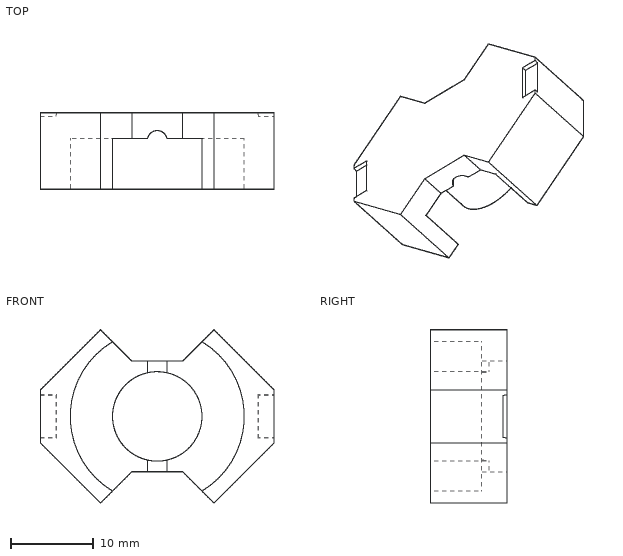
import cadquery as cq
import math

length = 28.5
height = 9.35
width = 21.11

flats_distance = 24.7
waist_width = 13.5

window_diameter = 21.2
window_depth = 6.2
post_diameter = 10.9

groove_radius = 1.2
groove_axis_depth = 0.25

recess_depth = 0.5
recess_length = 2.0
recess_mouth_width = 5.28
recess_draft = 10.0

mating_y = -height / 2
back_y = height / 2
floor_y = mating_y + window_depth


def prism(plane_points, y_start, y_end):
    """Extrude an XZ outline from y_start to y_end."""
    plane = cq.Workplane("XZ", origin=(0, y_end, 0))
    return plane.polyline(plane_points).close().extrude(y_end - y_start)


def cylinder(diameter, y_start, y_end):
    """Round bar along Y on the part axis."""
    plane = cq.Workplane("XZ", origin=(0, y_end, 0))
    return plane.circle(diameter / 2).extrude(y_end - y_start)


def core_body():
    flat_sum = flats_distance / math.sqrt(2)
    end_x = length / 2
    end_z = flat_sum - end_x
    tip_z = width / 2
    tip_x = flat_sum - tip_z
    waist_z = waist_width / 2
    waist_x = tip_x - (tip_z - waist_z)
    upper = [(end_x, end_z), (tip_x, tip_z), (waist_x, waist_z)]
    upper += [(-x, z) for x, z in reversed(upper)]
    lower = [(-x, -z) for x, z in upper]
    return prism(upper + lower, mating_y, back_y)


def window():
    return cylinder(window_diameter, mating_y, floor_y)


def wire_grooves():
    plane = cq.Workplane("XY", origin=(0, floor_y - groove_axis_depth, 0))
    return plane.circle(groove_radius).extrude(waist_width / 2, both=True)


def centre_post():
    return cylinder(post_diameter, mating_y, back_y)


def clip_recess(side):
    """Recess open to the back and one end (side -1 or 1), its side and inner walls leaning by the draft."""
    end_x = side * length / 2
    narrowing = recess_depth * math.tan(math.radians(recess_draft))
    mouth = cq.Workplane("XZ", origin=(end_x, back_y, 0))
    floor_length = recess_length - narrowing
    floor_width = recess_mouth_width - 2 * narrowing
    return (
        mouth.rect(2 * recess_length, recess_mouth_width)
        .workplane(offset=recess_depth)
        .rect(2 * floor_length, floor_width)
        .loft(ruled=True)
    )


result = core_body().cut(window()).cut(wire_grooves()).union(centre_post())
result = result.cut(clip_recess(-1)).cut(clip_recess(1))